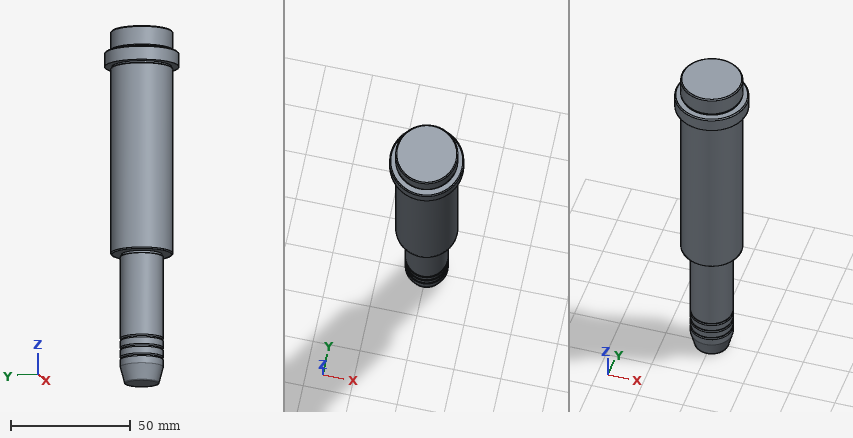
import cadquery as cq
import math

total_height = 150.0
shoulder_z = 55.0
flange_bottom_z = 135.0
flange_top_z = 141.0

body_radius = 13.0
flange_radius = 15.5
pin_radius = 9.0

edge_chamfer = 0.5
relief_depth = 0.5
relief_width = 1.0
relief_ramp = 0.35

lead_in_height = 7.0
lead_in_angle = 15.0
tip_fillet = 0.5

groove_count = 3
groove_pitch = 4.0
lowest_groove_z = 10.6
groove_width = 1.2
groove_depth = 0.3


def cylinder(radius, bottom_z, top_z):
    """Solid cylinder on the Z axis between two heights."""
    return cq.Workplane("XY").workplane(offset=bottom_z).circle(radius).extrude(top_z - bottom_z)


def revolve_profile(points):
    """Solid of revolution about Z from a closed (radius, height) profile."""
    return cq.Workplane("XZ").polyline(points).close().revolve(360, (0, 0, 0), (0, 1, 0))


def make_v_groove(center_z):
    """Cutter for a V groove around the pin."""
    half_width = groove_width / 2
    return revolve_profile(
        [
            (pin_radius, center_z - half_width),
            (pin_radius, center_z + half_width),
            (pin_radius - groove_depth, center_z),
        ]
    )


def make_relief(surface_radius, shoulder_height, direction, ramp_height=0.0):
    """Cutter for a neck beside a shoulder, running up (+1) or down (-1), with an optional sloping far flank."""
    floor_radius = surface_radius - relief_depth
    return revolve_profile(
        [
            (surface_radius, shoulder_height),
            (floor_radius, shoulder_height),
            (floor_radius, shoulder_height + direction * (relief_width - ramp_height)),
            (surface_radius, shoulder_height + direction * relief_width),
        ]
    )


def make_pin():
    """Lower pin with its tapered tip, ring grooves and relief under the shoulder."""
    tip_radius = pin_radius - lead_in_height * math.tan(math.radians(lead_in_angle))
    outline = [
        (0, 0),
        (tip_radius, 0),
        (pin_radius, lead_in_height),
        (pin_radius, shoulder_z),
        (0, shoulder_z),
    ]
    pin = revolve_profile(outline).faces("<Z").edges().fillet(tip_fillet)
    for index in range(groove_count):
        pin = pin.cut(make_v_groove(lowest_groove_z + index * groove_pitch))
    return pin.cut(make_relief(pin_radius, shoulder_z, -1))


def make_body():
    """Large body and head, with a relief on each side of the flange."""
    body = cylinder(body_radius, shoulder_z, total_height).edges().chamfer(edge_chamfer)
    lower_relief = make_relief(body_radius, flange_bottom_z, -1, relief_ramp)
    upper_relief = make_relief(body_radius, flange_top_z, 1, relief_ramp)
    return body.cut(lower_relief).cut(upper_relief)


def make_flange():
    """Collar with its upper rim chamfered."""
    return cylinder(flange_radius, flange_bottom_z, flange_top_z).faces(">Z").edges().chamfer(edge_chamfer)


result = make_pin().union(make_body()).union(make_flange())